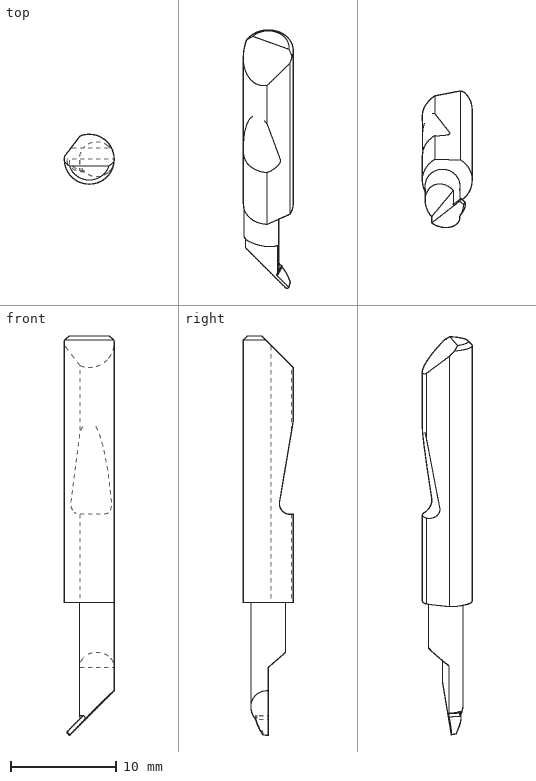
import cadquery as cq
import math


shank_diameter = 4.76
shank_radius = shank_diameter / 2
shank_length = 25.35
shank_chamfer = 0.4

flat_distance = 2.04
flat_direction = 142.5

top_slope_start_y = -0.62

notch_shoulder_z = 8.4
notch_top_z = 17.22
notch_slope_angle = 9.6
notch_radius = 1.0

neck_radius = 1.66
neck_center_x = shank_radius - neck_radius
neck_side_x = neck_center_x - neck_radius
tip_depth = 12.64

rake_runout_bottom_z = -6.17
rake_runout_angle = 41

tip_x = -1.88
underside_relief_angle = 3

blade_thickness = 0.42
blade_length = 2.3
blade_nose_radius = 0.12
blade_bottom_front = [(0.5, 0.06), (0.85, 0.85), (1.25, blade_length)]
blade_top_front = [(0.53, 0.12), (0.92, 0.85), (1.2, blade_length)]

recess_wall = 1.98
recess_radius = 0.25

ledge_width = 1.05
ledge_top = 1.9
ledge_bottom = 1.25

clearance = 10.0


def along_x(points):
    """Prism with a (Y, Z) outline that passes through the whole part along X."""
    return cq.Workplane("YZ").polyline(points).close().extrude(clearance, both=True)


def make_shank():
    shank = cq.Workplane("XY").circle(shank_radius).extrude(shank_length)
    return shank.faces(">Z").chamfer(shank_chamfer)


def side_flat():
    block = cq.Workplane("XY").box(
        clearance, clearance, shank_length, centered=(False, True, False)
    )
    return block.translate((flat_distance, 0, 0)).rotate((0, 0, 0), (0, 0, 1), flat_direction)


def top_slope():
    return along_x([
        (top_slope_start_y, shank_length),
        (top_slope_start_y + clearance, shank_length),
        (top_slope_start_y + clearance, shank_length - clearance),
    ])


def clamping_notch():
    height = notch_top_z - notch_shoulder_z
    floor_y = shank_radius - height * math.tan(math.radians(notch_slope_angle))
    notch = along_x([
        (shank_radius, notch_top_z),
        (shank_radius, notch_shoulder_z),
        (floor_y, notch_shoulder_z),
    ])
    return notch.edges("|X and <Y").fillet(notch_radius)


def tip_plane(height=0.0):
    """Plane on the 45 degree slope: local x runs forward (-Y), local y up the slope."""
    base = cq.Plane(origin=(tip_x, 0, -tip_depth), xDir=(0, -1, 0), normal=(-1, 0, 1))
    return cq.Plane(origin=base.toWorldCoords((0, 0, height)), xDir=base.xDir, normal=base.zDir)


def underside_cut():
    plane = tip_plane().rotated((0, -underside_relief_angle, 0))
    return cq.Workplane(plane).rect(2 * clearance, 2 * clearance).extrude(-clearance)


def recess_cut():
    block = (
        cq.Workplane(tip_plane(blade_thickness))
        .center(0, recess_wall - clearance / 2)
        .rect(clearance, clearance)
        .extrude(clearance)
    )
    inner_corner = cq.NearestToPointSelector(
        tip_plane().toWorldCoords((0, recess_wall, blade_thickness))
    )
    return block.edges(inner_corner).fillet(recess_radius)


def recess_ledge():
    length = neck_radius
    height = ledge_top - ledge_bottom
    ledge = cq.Workplane("XY").box(length, ledge_width, height, centered=False)
    return ledge.translate((neck_side_x, -ledge_width, ledge_bottom - tip_depth))


def make_neck():
    neck = cq.Workplane("XY").center(neck_center_x, 0).circle(neck_radius).extrude(-tip_depth)
    return neck.cut(rake_cut()).union(recess_ledge()).cut(recess_cut())


def rake_cut():
    runout_z = rake_runout_bottom_z + clearance * math.tan(math.radians(rake_runout_angle))
    return along_x([
        (0, -clearance - tip_depth),
        (0, rake_runout_bottom_z),
        (clearance, runout_z),
        (clearance, -clearance - tip_depth),
    ])


def blade_outline(height, front):
    tip_corner, middle, root_corner = front
    return (
        cq.Workplane(tip_plane(height))
        .lineTo(*tip_corner)
        .threePointArc(middle, root_corner)
        .lineTo(0, blade_length)
        .close()
        .val()
    )


def make_blade():
    bottom = blade_outline(0, blade_bottom_front)
    top = blade_outline(blade_thickness, blade_top_front)
    blade = cq.Workplane(cq.Solid.makeLoft([bottom, top], True))
    blade_tip_width, _ = blade_top_front[0]
    nose_edge = cq.NearestToPointSelector(
        tip_plane().toWorldCoords((blade_tip_width / 2, 0, blade_thickness))
    )
    return blade.edges(nose_edge).fillet(blade_nose_radius)


shank = make_shank().cut(side_flat()).cut(top_slope()).cut(clamping_notch())
neck_and_tip = make_neck().union(make_blade()).cut(underside_cut())
result = shank.union(neck_and_tip)